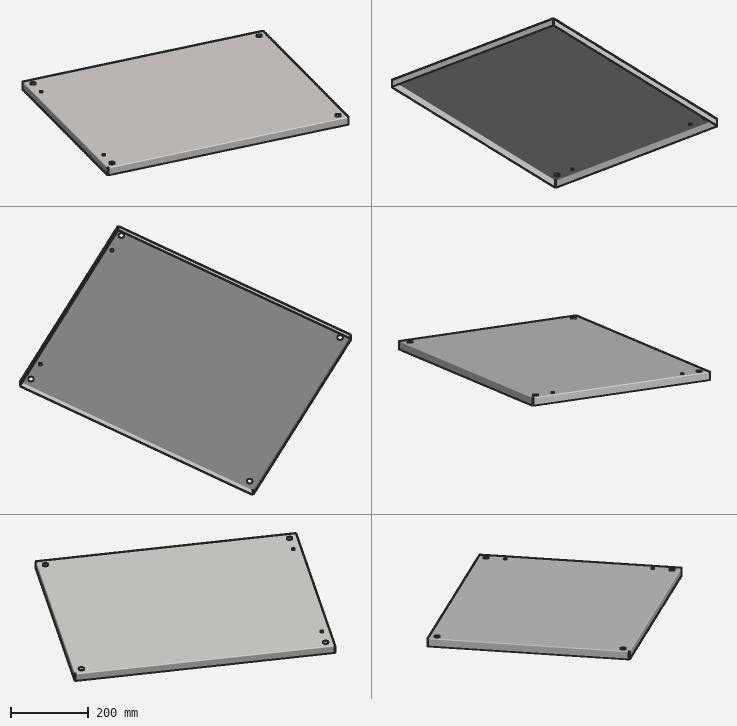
import cadquery as cq

width = 533.4
length = 685.8
height = 22.23

sheet_thickness = 1.7
inner_bend_radius = 1.0
outer_bend_radius = inner_bend_radius + sheet_thickness

corner_notch = 3.1

mounting_hole_diameter = 14.3
mounting_hole_inset = 22.23
small_hole_diameter = 7.92
small_hole_spacing = 387.4

mounting_hole_x = width / 2 - mounting_hole_inset
mounting_hole_y = length / 2 - mounting_hole_inset


def bent_channel(span, run):
    """Channel along Y, `run` long and `span` wide in X: a flat face with a flange bent down on each side."""
    inner_span = span - 2 * sheet_thickness
    inner_height = height - sheet_thickness
    outside = (
        cq.Workplane("XY")
        .box(span, run, height, centered=(True, True, False))
        .edges("|Y and >Z")
        .fillet(outer_bend_radius)
    )
    inside = (
        cq.Workplane("XY")
        .box(inner_span, run, inner_height, centered=(True, True, False))
        .edges("|Y and >Z")
        .fillet(inner_bend_radius)
    )
    return outside.cut(inside)


def folded_panel():
    """Flat face with a flange bent down along each of its four sides."""
    side_flange_length = length - 2 * corner_notch
    end_flange_length = width - 2 * corner_notch
    side_channel = bent_channel(width, side_flange_length)
    end_channel = bent_channel(length, end_flange_length).rotate((0, 0, 0), (0, 0, 1), 90)
    return side_channel.union(end_channel)


def face_holes(diameter, centers):
    """Cutters for round holes through the face."""
    return cq.Workplane("XY").pushPoints(centers).circle(diameter / 2).extrude(height)


mounting_hole_centers = [
    (side * mounting_hole_x, end * mounting_hole_y) for side in (-1, 1) for end in (-1, 1)
]
small_hole_centers = [(side * small_hole_spacing / 2, -mounting_hole_y) for side in (-1, 1)]

result = (
    folded_panel()
    .cut(face_holes(mounting_hole_diameter, mounting_hole_centers))
    .cut(face_holes(small_hole_diameter, small_hole_centers))
)